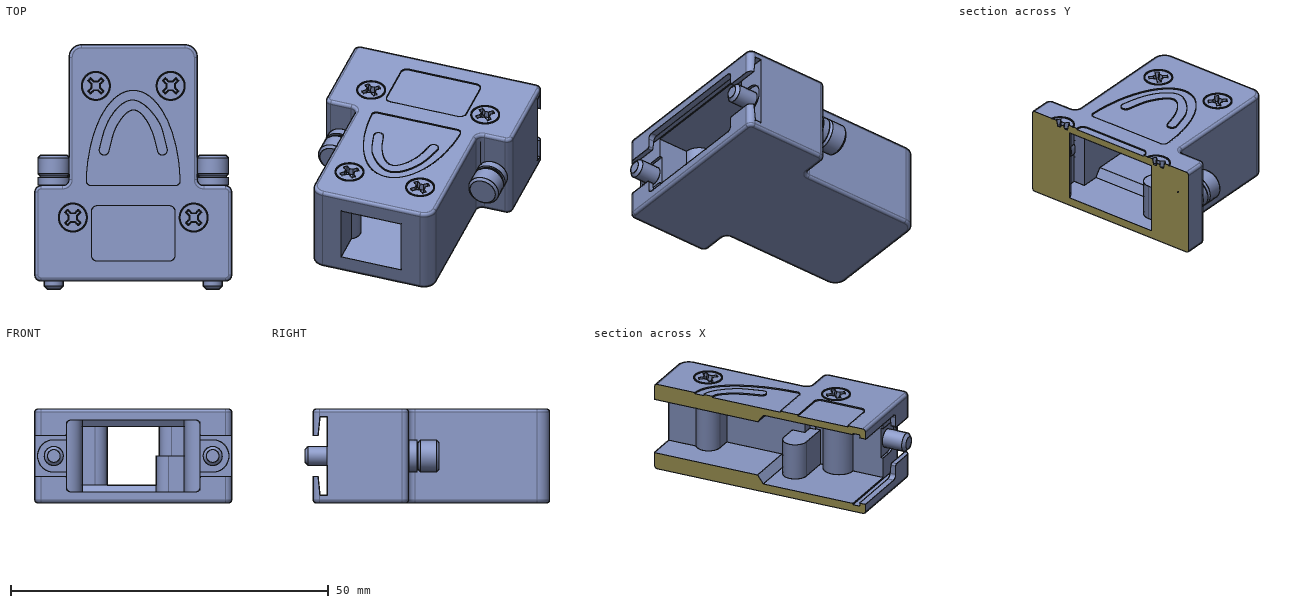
import cadquery as cq
import math


HEIGHT = 14.8
TOP = HEIGHT / 2
HEAD_WIDTH = 31.0
HEAD_LENGTH = 15.0
NECK_WIDTH = 20.2
LENGTH = 37.2
HEAD_CORNER_R = 1.0
NECK_CORNER_R = 2.0
INNER_CORNER_R = 1.0
EDGE_R = 0.5

OPENING_WIDTH = 21.0
OPENING_HEIGHT = 11.3
OPENING_CORNER_R = 0.7
FLANGE_SLOT_HEIGHT = 12.34
FLANGE_SLOT_BACK = 2.2
LIP_ROOT = 1.1
LIP_TIP = 0.8
NOTCH_HEIGHT = 6.4
NOTCH_CORNER_R = 0.3

CHAMBER_LENGTH = 18.0
CHAMBER_HEIGHT = 11.9
NECK_CAVITY_WIDTH = 17.0
NECK_CAVITY_HEIGHT = 9.2
CABLE_EXIT_WIDTH = 10.0
TAPER_LENGTH = 1.0
FRONT_BOSS_Y = 10.0
FRONT_BOSS_R = 2.5
REAR_BOSS_X = 6.05
REAR_BOSS_R = 1.97
CLAMP_POST_X = 5.55
CLAMP_POST_Y = 15.2

FRONT_SCREW_X = 9.5
REAR_SCREW_X = 5.88
REAR_SCREW_Y = 30.7
SCREW_HEAD_R = 2.28
RING_WIDTH = 0.15
RING_DEPTH = 0.1
CROSS_LENGTH = 3.0
CROSS_ARM_WIDTH = 0.65
CROSS_CORE = 1.5
CROSS_DEPTH = 1.0
CROSS_TAPER = 8

JACK_X = 12.5
JACK_TIP = 1.3
PIN_R = 1.5
PIN_CHAMFER = 0.5
COLLAR_R = 2.5
COLLAR_GAP = 0.1
COLLAR_LENGTH = 1.2
GROOVE_R = 2.2
GROOVE_WIDTH = 0.2
KNOB_LENGTH = 3.3
KNOB_CHAMFER = 0.4
SEAT_R = 2.55
SEAT_DEPTH = 0.4

DECOR_DEPTH = 0.2
LABEL_WIDTH = 13.2
LABEL_LENGTH = 8.75
LABEL_Y = 7.5
LABEL_CORNER_R = 1.0
ARCH_HALF_WIDTH = 7.4
ARCH_LENGTH = 15.0
ARCH_CORNER_R = 0.8
RIB_WIDTH = 1.55
RIB_TIP_Y = 27.7
RIB_SHOULDER = (3.15, 25.0)
RIB_SHOULDER_TURN = 32
RIB_LEG_LEAN = 14
RIB_END = (4.58, 20.6)


def block(width, y_start, y_end, height, x=0, z=0):
    """Box centred on x and z that spans y_start to y_end."""
    length = y_end - y_start
    return cq.Workplane("XY").box(width, length, height).translate((x, y_start + length / 2, z))


def post(x, y, radius, z_bottom, z_top):
    """Upright round post."""
    return cq.Workplane("XY", origin=(x, y, z_bottom)).circle(radius).extrude(z_top - z_bottom)


def rounded_web(x, side, y, z_bottom, z_top):
    """Post joined to the side wall by a web of the same thickness."""
    web_length = OPENING_WIDTH / 2 - abs(x)
    web = block(
        web_length,
        y - REAR_BOSS_R,
        y + REAR_BOSS_R,
        z_top - z_bottom,
        x + side * web_length / 2,
        (z_bottom + z_top) / 2,
    )
    return web.union(post(x, y, REAR_BOSS_R, z_bottom, z_top))


def make_body():
    """Solid T-shaped hood with rounded corners and edges."""
    neck_half = NECK_WIDTH / 2
    head = block(HEAD_WIDTH, 0, HEAD_LENGTH, HEIGHT).edges("|Z").fillet(HEAD_CORNER_R)
    neck = block(NECK_WIDTH, HEAD_LENGTH / 2, LENGTH, HEIGHT).edges("|Z and >Y").fillet(NECK_CORNER_R)
    body = head.union(neck)
    for side in (-1, 1):
        inner_corner = cq.NearestToPointSelector((side * neck_half, HEAD_LENGTH, 0))
        body = body.edges(inner_corner).fillet(INNER_CORNER_R)
    return body.faces("<Z or >Z").edges().fillet(EDGE_R)


def make_cavity():
    """Chamber, taper and neck passage, with the bosses left standing."""
    chamber = block(OPENING_WIDTH, FLANGE_SLOT_BACK, HEAD_LENGTH, CHAMBER_HEIGHT)
    chamber = chamber.union(block(NECK_CAVITY_WIDTH, HEAD_LENGTH / 2, CHAMBER_LENGTH, CHAMBER_HEIGHT))
    taper = (
        cq.Workplane("XZ", origin=(0, CHAMBER_LENGTH, 0))
        .rect(NECK_CAVITY_WIDTH, CHAMBER_HEIGHT)
        .workplane(offset=-TAPER_LENGTH)
        .rect(NECK_CAVITY_WIDTH, NECK_CAVITY_HEIGHT)
        .loft()
    )
    neck_start = CHAMBER_LENGTH + TAPER_LENGTH
    passage = block(NECK_CAVITY_WIDTH, neck_start, REAR_SCREW_Y, NECK_CAVITY_HEIGHT)
    cable_exit = block(CABLE_EXIT_WIDTH, neck_start, LENGTH, NECK_CAVITY_HEIGHT)
    cavity = chamber.union(taper).union(passage).union(cable_exit)
    for side in (-1, 1):
        cavity = cavity.cut(post(side * OPENING_WIDTH / 2, FRONT_BOSS_Y, FRONT_BOSS_R, -TOP, TOP))
        cavity = cavity.cut(rounded_web(side * REAR_BOSS_X, side, REAR_SCREW_Y, -TOP, TOP))
    return cavity.cut(rounded_web(CLAMP_POST_X, 1, CLAMP_POST_Y, -TOP, 0))


def make_front_opening():
    """Lip opening with side notches, and the flange slot with sloped lip backs."""
    notch = block(HEAD_WIDTH, 0, FLANGE_SLOT_BACK, NOTCH_HEIGHT)
    window = block(OPENING_WIDTH, 0, FLANGE_SLOT_BACK, OPENING_HEIGHT)
    window = window.edges("|Y").fillet(OPENING_CORNER_R)
    opening = window.union(notch)
    for side_x in (-1, 1):
        for side_z in (-1, 1):
            corner = (side_x * OPENING_WIDTH / 2, FLANGE_SLOT_BACK / 2, side_z * NOTCH_HEIGHT / 2)
            opening = opening.edges(cq.NearestToPointSelector(corner)).fillet(NOTCH_CORNER_R)
    slot_half = FLANGE_SLOT_HEIGHT / 2
    notch_half = NOTCH_HEIGHT / 2
    flange_slot = (
        cq.Workplane("YZ")
        .moveTo(FLANGE_SLOT_BACK, -slot_half)
        .lineTo(LIP_ROOT, -slot_half)
        .lineTo(LIP_TIP, -notch_half)
        .lineTo(LIP_TIP, notch_half)
        .lineTo(LIP_ROOT, slot_half)
        .lineTo(FLANGE_SLOT_BACK, slot_half)
        .close()
        .extrude(HEAD_WIDTH / 2, both=True)
    )
    return opening.union(flange_slot)


def make_jack_seat(side):
    """Shallow U-shaped seat around a jack screw, open to the chamber."""
    seat_end = FLANGE_SLOT_BACK + SEAT_DEPTH
    round_end = cq.Workplane("XZ", origin=(side * JACK_X, seat_end, 0)).circle(SEAT_R).extrude(SEAT_DEPTH)
    arm_length = JACK_X - OPENING_WIDTH / 2
    arm = block(arm_length, FLANGE_SLOT_BACK, seat_end, 2 * SEAT_R, side * (JACK_X - arm_length / 2))
    return round_end.union(arm)


def make_jack_screw(side):
    """Pin at the front, collar and knob behind the shoulder, turned about Y."""
    collar_start = HEAD_LENGTH + COLLAR_GAP
    collar_end = collar_start + COLLAR_LENGTH
    knob_start = collar_end + GROOVE_WIDTH
    knob_end = knob_start + KNOB_LENGTH
    shank_start = HEAD_LENGTH - HEAD_CORNER_R
    profile = (
        cq.Workplane("XY")
        .moveTo(0, -JACK_TIP)
        .lineTo(PIN_R - PIN_CHAMFER, -JACK_TIP)
        .lineTo(PIN_R, PIN_CHAMFER - JACK_TIP)
        .lineTo(PIN_R, shank_start)
        .lineTo(GROOVE_R, shank_start)
        .lineTo(GROOVE_R, collar_start)
        .lineTo(COLLAR_R, collar_start)
        .lineTo(COLLAR_R, collar_end)
        .lineTo(GROOVE_R, collar_end)
        .lineTo(GROOVE_R, knob_start)
        .lineTo(COLLAR_R - KNOB_CHAMFER, knob_start)
        .lineTo(COLLAR_R, knob_start + KNOB_CHAMFER)
        .lineTo(COLLAR_R, knob_end - KNOB_CHAMFER)
        .lineTo(COLLAR_R - KNOB_CHAMFER, knob_end)
        .lineTo(0, knob_end)
        .close()
    )
    screw = profile.revolve(360, (0, 0, 0), (0, 1, 0))
    return screw.rotate((0, 0, 0), (0, 1, 0), -90).translate((side * JACK_X, 0, 0))


def make_screw_marking(x, y):
    """Ring around a cover screw head and its cross recess."""
    top_plane = cq.Workplane("XY", origin=(x, y, TOP))
    ring = top_plane.circle(SCREW_HEAD_R).circle(SCREW_HEAD_R - RING_WIDTH).extrude(-RING_DEPTH)
    cross = top_plane.rect(CROSS_CORE, CROSS_CORE).extrude(-CROSS_DEPTH, taper=CROSS_TAPER)
    for angle in (-45, 45):
        arm = top_plane.transformed(rotate=(0, 0, angle)).rect(CROSS_LENGTH, CROSS_ARM_WIDTH)
        cross = cross.union(arm.extrude(-CROSS_DEPTH, taper=CROSS_TAPER))
    return ring.union(cross)


def make_label_recess():
    """Shallow rounded rectangle for a label."""
    label = cq.Workplane("XY", origin=(0, LABEL_Y, TOP)).rect(LABEL_WIDTH, LABEL_LENGTH)
    return label.extrude(-DECOR_DEPTH).edges("|Z").fillet(LABEL_CORNER_R)


def make_arch_recess():
    """Half-ellipse recess with a raised bent rib standing in it."""
    arch = (
        cq.Workplane("XY", origin=(0, HEAD_LENGTH, TOP))
        .moveTo(ARCH_HALF_WIDTH, 0)
        .ellipseArc(ARCH_HALF_WIDTH, ARCH_LENGTH, 0, 180, startAtCurrent=True)
        .close()
        .extrude(-DECOR_DEPTH)
    )
    arch = arch.edges("|Z").fillet(ARCH_CORNER_R)
    return arch.cut(make_rib())


def make_rib():
    """Bent rib with rounded ends, symmetric about the YZ plane."""
    half = RIB_WIDTH / 2
    lean = math.radians(RIB_LEG_LEAN)
    shoulder_turn = math.radians(RIB_SHOULDER_TURN)
    leg_down = (math.sin(lean), -math.cos(lean))
    leg_up = (math.sin(lean), math.cos(lean))

    def side_points(offset):
        """Points from left to right, offset outward from the rib centre line."""
        shoulder = (
            RIB_SHOULDER[0] + offset * math.cos(shoulder_turn),
            RIB_SHOULDER[1] + offset * math.sin(shoulder_turn),
        )
        end = (RIB_END[0] + offset * math.cos(lean), RIB_END[1] + offset * math.sin(lean))
        right = [shoulder, end]
        left = [(-x, y) for x, y in reversed(right)]
        return left + [(0, RIB_TIP_Y + offset)] + right

    outer = side_points(half)
    inner = side_points(-half)
    tip_x = RIB_END[0] + half * leg_down[0]
    tip_y = RIB_END[1] + half * leg_down[1]
    leg_up_left = (-leg_up[0], leg_up[1])
    leg_down_left = (-leg_down[0], leg_down[1])
    return (
        cq.Workplane("XY", origin=(0, 0, TOP - DECOR_DEPTH))
        .moveTo(*outer[0])
        .spline(outer[1:], tangents=[leg_up, leg_down], includeCurrent=True)
        .threePointArc((tip_x, tip_y), inner[-1])
        .spline(inner[-2::-1], tangents=[leg_up_left, leg_down_left], includeCurrent=True)
        .threePointArc((-tip_x, tip_y), outer[0])
        .close()
        .extrude(DECOR_DEPTH)
    )


result = make_body().cut(make_cavity()).cut(make_front_opening())
result = result.cut(make_label_recess()).cut(make_arch_recess())
for side in (-1, 1):
    result = result.cut(make_jack_seat(side))
    result = result.union(make_jack_screw(side))
    result = result.cut(make_screw_marking(side * FRONT_SCREW_X, FRONT_BOSS_Y))
    result = result.cut(make_screw_marking(side * REAR_SCREW_X, REAR_SCREW_Y))